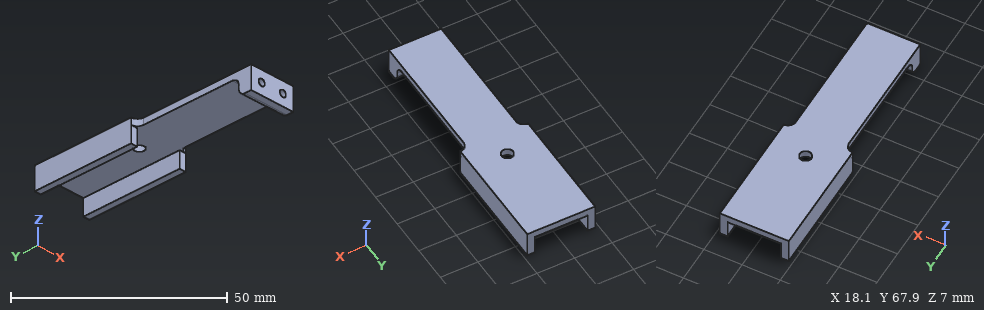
import cadquery as cq

length = 67.9
block_width = 18.15
height = 7.0

block_length = 31.15
plate_thickness = 2.0
channel_width = 14.0

arm_width = channel_width
arm_root_radius = 2.0
tab_thickness = 4.0
tab_inner_radius = 2.0
tab_tip_radius = 2.0

roof_hole_diameter = 3.0
roof_hole_from_back = 25.0
tab_hole_diameter = 2.0
tab_hole_spacing = 7.0
tab_hole_height = height / 2

block_front = length - block_length
plate_underside = height - plate_thickness


def make_block():
    """Upside-down U channel, open at both ends and underneath."""
    block = cq.Workplane("XY").box(block_width, block_length, height, centered=(True, False, False))
    channel = cq.Workplane("XY").box(
        channel_width, block_length, plate_underside, centered=(True, False, False)
    )
    return block.cut(channel).translate((0, block_front, 0))


def make_arm():
    """Arm and tab as one side profile, extruded across the arm width."""
    profile = (
        cq.Workplane("YZ")
        .moveTo(0, 0)
        .lineTo(tab_thickness - tab_tip_radius, 0)
        .radiusArc((tab_thickness, tab_tip_radius), -tab_tip_radius)
        .lineTo(tab_thickness, plate_underside - tab_inner_radius)
        .radiusArc((tab_thickness + tab_inner_radius, plate_underside), tab_inner_radius)
        .lineTo(block_front, plate_underside)
        .lineTo(block_front, height)
        .lineTo(0, height)
        .close()
    )
    return profile.extrude(arm_width / 2, both=True)


def make_root_fillet(side):
    """Concave corner between the arm and the block; side is -1 or +1 along X."""
    arm_side = side * arm_width / 2
    fillet_outer = arm_side + side * arm_root_radius
    return (
        cq.Workplane("XY", origin=(0, 0, plate_underside))
        .moveTo(arm_side, block_front)
        .lineTo(arm_side, block_front - arm_root_radius)
        .radiusArc((fillet_outer, block_front), side * arm_root_radius)
        .close()
        .extrude(plate_thickness)
    )


def make_roof_hole():
    """Vertical hole through the roof of the block."""
    return (
        cq.Workplane("XY", origin=(0, length - roof_hole_from_back, 0))
        .circle(roof_hole_diameter / 2)
        .extrude(height)
    )


def make_tab_holes():
    """Pair of holes along Y, through the tab and its inner fillet."""
    return (
        cq.Workplane("XZ", origin=(0, 0, tab_hole_height))
        .pushPoints([(-tab_hole_spacing / 2, 0), (tab_hole_spacing / 2, 0)])
        .circle(tab_hole_diameter / 2)
        .extrude(-(tab_thickness + tab_inner_radius))
    )


result = make_block().union(make_arm())
for side in (-1, 1):
    result = result.union(make_root_fillet(side))
result = result.cut(make_roof_hole()).cut(make_tab_holes())